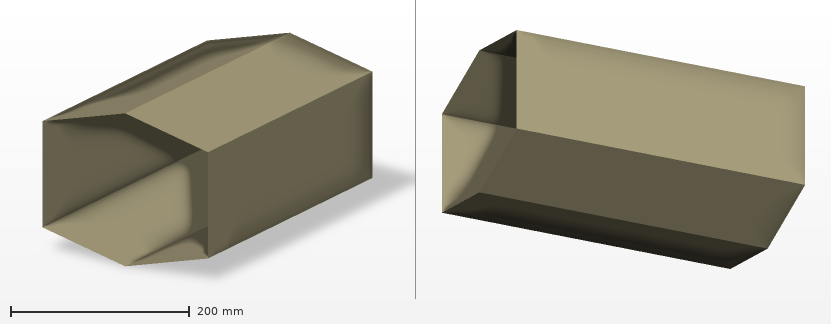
import cadquery as cq

width = 218.0
length = 350.0
height = 180.0
side_height = 125.0
wall = 0.07

outline = [
    (0, height / 2),
    (width / 2, side_height / 2),
    (width / 2, -side_height / 2),
    (0, -height / 2),
    (-width / 2, -side_height / 2),
    (-width / 2, side_height / 2),
]


def prism(inset):
    """Hexagonal prism along Y, centred on the origin, with its faces moved in by inset."""
    profile = cq.Workplane("XZ").polyline(outline).close()
    if inset:
        profile = profile.offset2D(-inset, "intersection")
    return profile.extrude(length / 2, both=True)


result = prism(0).cut(prism(wall))